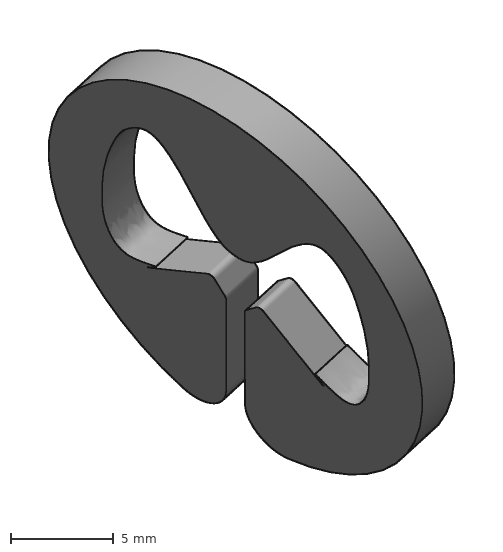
import cadquery as cq

disc_radius = 11.96
thickness = 2.4

slot_half_width = 0.6
foot_radius = 2.15

tongue_bottom = (0.0, 1.65)
tongue_root = (-1.22, 2.15)
tongue_flank = (-2.4, 3.6)
lobe_inner = (-3.95, 5.77)
lobe_top = (-5.55, 6.8)
lobe_outer = (-6.85, 6.0)
lobe_shoulder = (-7.85, 4.02)
lobe_flank = (-8.38, 1.87)
lobe_side = (-8.55, -0.48)
lobe_corner = (-8.15, -2.97)
lobe_bottom = (-6.75, -3.95)
jaw_root = (-5.12, -3.45)
jaw_flank = (-3.73, -2.58)
jaw_tip = (-1.53, -1.03)
jaw_inner = (-slot_half_width, -2.13)
jaw_tip_radius = 0.35
jaw_inner_radius = 0.35


def slot_cutter():
    """Straight slot from the jaws to below the disc."""
    length = disc_radius + jaw_inner[1]
    return (
        cq.Workplane("XZ")
        .center(0, jaw_inner[1] - length / 2)
        .rect(2 * slot_half_width, length)
        .extrude(thickness / 2, both=True)
    )


def half_opening():
    """Left half of the opening, closed along the symmetry plane."""
    jaw_slope = (jaw_tip[0] - jaw_flank[0], jaw_tip[1] - jaw_flank[1])
    return (
        cq.Workplane("XZ")
        .moveTo(*tongue_bottom)
        .spline(
            [
                tongue_root, tongue_flank, lobe_inner, lobe_top, lobe_outer, lobe_shoulder,
                lobe_flank, lobe_side, lobe_corner, lobe_bottom, jaw_root, jaw_flank,
            ],
            tangents=[(-1, 0), jaw_slope],
            includeCurrent=True,
        )
        .lineTo(*jaw_tip)
        .lineTo(*jaw_inner)
        .lineTo(0, jaw_inner[1])
        .close()
        .extrude(thickness / 2, both=True)
    )


def round_edges(body, corner, radius):
    """Round the edges across the thickness at a corner and its mirror image."""
    for x in (corner[0], -corner[0]):
        edge = cq.selectors.NearestToPointSelector((x, 0, corner[1]))
        body = body.edges("|Y").edges(edge).fillet(radius)
    return body


disc = cq.Workplane("XZ").circle(disc_radius).extrude(thickness / 2, both=True)
left_opening = half_opening()
right_opening = left_opening.mirror("YZ")
body = disc.cut(left_opening).cut(right_opening).cut(slot_cutter())

slot_mouth = (-slot_half_width, -(disc_radius**2 - slot_half_width**2) ** 0.5)
body = round_edges(body, slot_mouth, foot_radius)
body = round_edges(body, jaw_tip, jaw_tip_radius)
result = round_edges(body, jaw_inner, jaw_inner_radius)